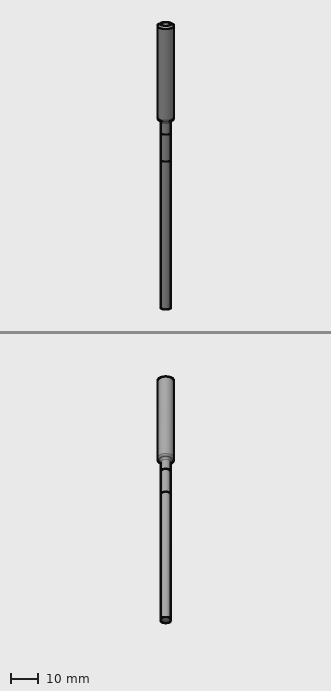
import cadquery as cq

total_length = 110.0
shank_radius = 6.0 / 2
drill_radius = 3.7 / 2

top_face_radius = drill_radius
top_cone_height = 0.8

shank_bottom = 74.0
neck_top = 72.3
transition_mid_radius = (shank_radius + drill_radius) / 2
transition_mid_height = (shank_bottom + neck_top) / 2

flute_top = 68.0
runout_bottom = 57.5
runout_relief = 0.02
runout_radius = drill_radius - runout_relief
point_height = 0.4


def make_shank():
    """Shank with a coned top, blending into a plain neck through an S-shaped curve."""
    outline = (
        cq.Workplane("XZ")
        .moveTo(0, flute_top)
        .lineTo(drill_radius, flute_top)
        .lineTo(drill_radius, neck_top)
        .tangentArcPoint((transition_mid_radius, transition_mid_height), relative=False)
        .tangentArcPoint((shank_radius, shank_bottom), relative=False)
        .lineTo(shank_radius, total_length - top_cone_height)
        .lineTo(top_face_radius, total_length)
        .lineTo(0, total_length)
        .close()
    )
    return outline.revolve(360, (0, 0, 0), (0, 1, 0))


def make_cutting_body():
    """Plain cylindrical envelope of the drill, with a conical point and a relieved run-out."""
    outline = (
        cq.Workplane("XZ")
        .moveTo(0, 0)
        .lineTo(drill_radius, point_height)
        .lineTo(drill_radius, runout_bottom)
        .lineTo(runout_radius, runout_bottom)
        .lineTo(runout_radius, flute_top)
        .lineTo(0, flute_top)
        .close()
    )
    return outline.revolve(360, (0, 0, 0), (0, 1, 0))


shank = make_shank()
cutting_body = make_cutting_body()
result = cq.Compound.makeCompound([shank.val(), cutting_body.val()])